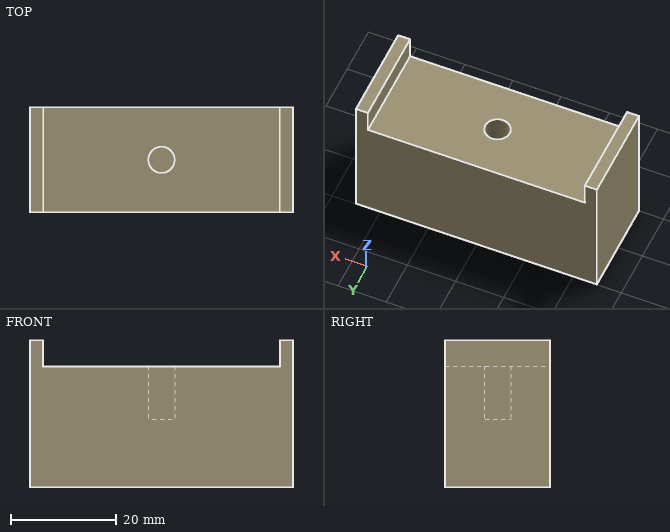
import cadquery as cq

length = 50.0
width = 20.0
height = 28.0

lip_thickness = 2.5
lip_height = 5.0

hole_diameter = 5.0
hole_depth = 10.0

seat_height = height - lip_height
seat_length = length - 2 * lip_thickness

block = cq.Workplane("XY").box(length, width, height, centered=(True, True, False))

seat_plane = cq.Workplane("XY").workplane(offset=seat_height)
seat_space = seat_plane.rect(seat_length, width).extrude(lip_height)
hole = seat_plane.circle(hole_diameter / 2).extrude(-hole_depth)

result = block.cut(seat_space).cut(hole)